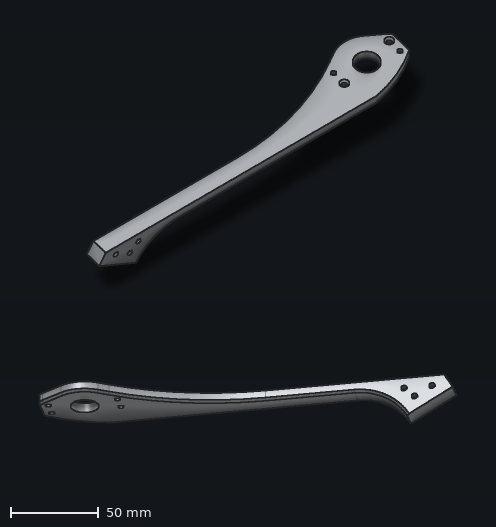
import cadquery as cq
import math

WIDTH = 43.8
LENGTH = 235.7
HEIGHT = 23.5
PLATE_THICKNESS = 6.0
ARM_WIDTH = 11.5
ARM_LEFT = WIDTH - ARM_WIDTH

HEAD_RADIUS = 20.0
HEAD_X = HEAD_RADIUS
HEAD_Y = 211.0
BORE_DIAMETER = 16.0
HEAD_END_LEFT = 12.3
HEAD_END_RIGHT = 27.5
CORNER_X = 10.4
CORNER_Y = 233.5
SHOULDER_MID = (39.4, 215.0)
SHOULDER_Y = 199.5

SWEEP_RADIUS = 157.5
SWEEP_Y = 108.6

SCREW_DIAMETER = 3.3
SINK_DIAMETER = 6.0
SINK_ANGLE = 90
SCREW_DX = 5.0
SCREW_DY = 20.0

FOOT_ANGLE = math.radians(30)
TIP_DROP = 8.2
FOOT_RADIUS = 35.4
FOOT_HOLES = [(12.0, -6.4), (28.3, -6.4), (22.2, -12.0)]

EDGE_CHAMFER = 1.5


def head_point(angle):
    """Point on the head circle at an angle in radians."""
    return (HEAD_X + HEAD_RADIUS * math.cos(angle), HEAD_Y + HEAD_RADIUS * math.sin(angle))


def sweep_point(angle):
    """Point on the sweep circle at an angle in radians."""
    center_x = ARM_LEFT - SWEEP_RADIUS
    return (center_x + SWEEP_RADIUS * math.cos(angle), SWEEP_Y + SWEEP_RADIUS * math.sin(angle))


def make_plan():
    """Outline seen from above, extruded over the full height."""
    corner_dx = CORNER_X - HEAD_X
    corner_dy = CORNER_Y - HEAD_Y
    corner_distance = math.hypot(corner_dx, corner_dy)
    upper_angle = math.atan2(corner_dy, corner_dx) + math.acos(HEAD_RADIUS / corner_distance)

    center_dx = HEAD_X - (ARM_LEFT - SWEEP_RADIUS)
    center_dy = HEAD_Y - SWEEP_Y
    center_distance = math.hypot(center_dx, center_dy)
    sweep_angle = math.atan2(center_dy, center_dx) - math.acos(
        (HEAD_RADIUS + SWEEP_RADIUS) / center_distance
    )
    lower_angle = sweep_angle + math.pi

    return (
        cq.Workplane("XY")
        .moveTo(WIDTH, 0)
        .lineTo(WIDTH, SHOULDER_Y)
        .threePointArc(SHOULDER_MID, (HEAD_END_RIGHT, LENGTH))
        .lineTo(HEAD_END_LEFT, LENGTH)
        .lineTo(CORNER_X, CORNER_Y)
        .lineTo(*head_point(upper_angle))
        .threePointArc(head_point(math.pi), head_point(lower_angle))
        .lineTo(*sweep_point(sweep_angle))
        .threePointArc(sweep_point(sweep_angle / 2), (ARM_LEFT, SWEEP_Y))
        .lineTo(ARM_LEFT, 0)
        .close()
        .extrude(-HEIGHT)
    )


def make_side():
    """Side profile of plate and foot, extruded over the full width."""
    heel_y = (HEIGHT - TIP_DROP) / math.tan(FOOT_ANGLE)
    heel_rise = HEIGHT - PLATE_THICKNESS
    arc_start_y = heel_y + math.sqrt(FOOT_RADIUS**2 - (FOOT_RADIUS - heel_rise) ** 2)
    half_sweep = math.acos(1 - heel_rise / FOOT_RADIUS) / 2
    arc_mid = (
        arc_start_y - FOOT_RADIUS * math.sin(half_sweep),
        -PLATE_THICKNESS - FOOT_RADIUS * (1 - math.cos(half_sweep)),
    )
    return (
        cq.Workplane("YZ")
        .moveTo(TIP_DROP * math.tan(FOOT_ANGLE), 0)
        .lineTo(LENGTH, 0)
        .lineTo(LENGTH, -PLATE_THICKNESS)
        .lineTo(arc_start_y, -PLATE_THICKNESS)
        .threePointArc(arc_mid, (heel_y, -HEIGHT))
        .lineTo(0, -TIP_DROP)
        .close()
        .extrude(WIDTH)
    )


def chamfer_lower_left(body):
    """Chamfer the lower edge along the left side, from the head end to the foot."""
    margin = 0.2
    plate_bottom = body.faces("-Z")
    foot_curve = body.faces("%CYLINDER").faces("<Z")
    left_edges = [
        edge
        for edge in plate_bottom.add(foot_curve).edges().vals()
        if edge.Center().x < ARM_LEFT + margin and edge.Center().y < LENGTH - margin
    ]
    return body.newObject(left_edges).chamfer(EDGE_CHAMFER)


def head_plane(body):
    """Workplane on the top face, centred on the head."""
    return body.faces(">Z").workplane(origin=(HEAD_X, HEAD_Y, 0))


def cut_head_holes(body):
    """Large bore, two plain screw holes and two countersunk screw holes."""
    plain = [(SCREW_DX, SCREW_DY), (-SCREW_DX, -SCREW_DY)]
    sunk = [(-SCREW_DX, SCREW_DY), (SCREW_DX, -SCREW_DY)]
    body = head_plane(body).hole(BORE_DIAMETER)
    body = head_plane(body).pushPoints(plain).hole(SCREW_DIAMETER)
    return head_plane(body).pushPoints(sunk).cskHole(SCREW_DIAMETER, SINK_DIAMETER, SINK_ANGLE)


def cut_foot_holes(body):
    """Three cross holes through the foot along X."""
    holes = cq.Workplane("YZ").pushPoints(FOOT_HOLES).circle(SCREW_DIAMETER / 2).extrude(WIDTH)
    return body.cut(holes)


body = make_plan().intersect(make_side())
body = chamfer_lower_left(body)
body = cut_head_holes(body)
result = cut_foot_holes(body)